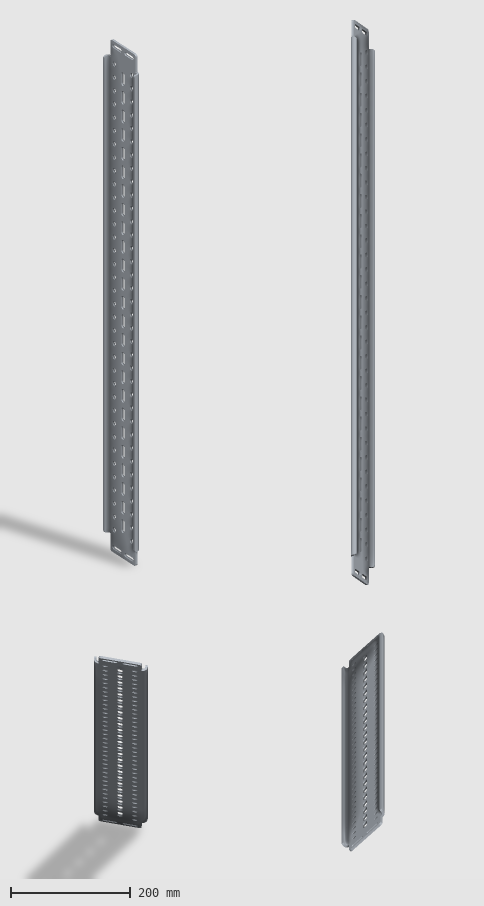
import cadquery as cq

length = 961.0
width = 91.0

thickness = 4.0
flange_reach = 8.0
depth = flange_reach + thickness
inner_bend_radius = thickness
outer_bend_radius = inner_bend_radius + thickness

tongue_width = 73.0
tongue_length = 33.0
tongue_corner_radius = 5.0
flange_length = length - 2 * tongue_length
flange_corner_radius = 4.0

hole_diameter = 9.0
hole_rows = 36
hole_column_length = 875.0
hole_pitch = hole_column_length / (hole_rows - 1)
hole_column_spacing = 2 * hole_pitch

slot_length = 25.0
slot_width = 9.0
slot_count = 25
slot_column_length = 840.0
slot_pitch = slot_column_length / (slot_count - 1)

end_slot_length = 26.0
end_slot_width = 7.0
end_slot_spacing = 35.0
end_slot_edge_distance = 10.0
end_slot_row_spacing = length - 2 * end_slot_edge_distance


def bent_block(block_width, block_length, radius):
    """Solid block with its two upright +Y edges rounded."""
    return cq.Workplane("XY").box(block_width, depth, block_length).edges("|Z and >Y").fillet(radius)


def make_channel():
    """U-channel with its web at the +Y side and the free flange corners rounded."""
    hollow = bent_block(width - 2 * thickness, length, inner_bend_radius)
    side_outline = (
        cq.Workplane("XY")
        .box(width, depth, flange_length)
        .edges("|X and <Y")
        .fillet(flange_corner_radius)
    )
    return (
        bent_block(width, flange_length, outer_bend_radius)
        .cut(hollow.translate((0, -thickness, 0)))
        .intersect(side_outline)
    )


def make_tongue_plate():
    """Flat plate over the full length, in the plane of the web."""
    return (
        cq.Workplane("XY")
        .box(tongue_width, thickness, length)
        .edges("|Y")
        .fillet(tongue_corner_radius)
        .translate((0, (depth - thickness) / 2, 0))
    )


def web_pattern(x_pitch, z_pitch, columns, rows):
    """Grid of points centred on the web; a single column sits on the centre line."""
    return cq.Workplane("XZ").rarray(x_pitch, z_pitch, columns, rows)


def through_cutter(sketch):
    """Cutter reaching through the full depth of the part."""
    return sketch.extrude(depth, both=True)


round_holes = through_cutter(
    web_pattern(hole_column_spacing, hole_pitch, 2, hole_rows).circle(hole_diameter / 2)
)
upright_slots = through_cutter(
    web_pattern(slot_width, slot_pitch, 1, slot_count).slot2D(slot_length, slot_width, 90)
)
end_slots = through_cutter(
    web_pattern(end_slot_spacing, end_slot_row_spacing, 2, 2).slot2D(end_slot_length, end_slot_width)
)

result = (
    make_channel()
    .union(make_tongue_plate())
    .cut(round_holes)
    .cut(upright_slots)
    .cut(end_slots)
)